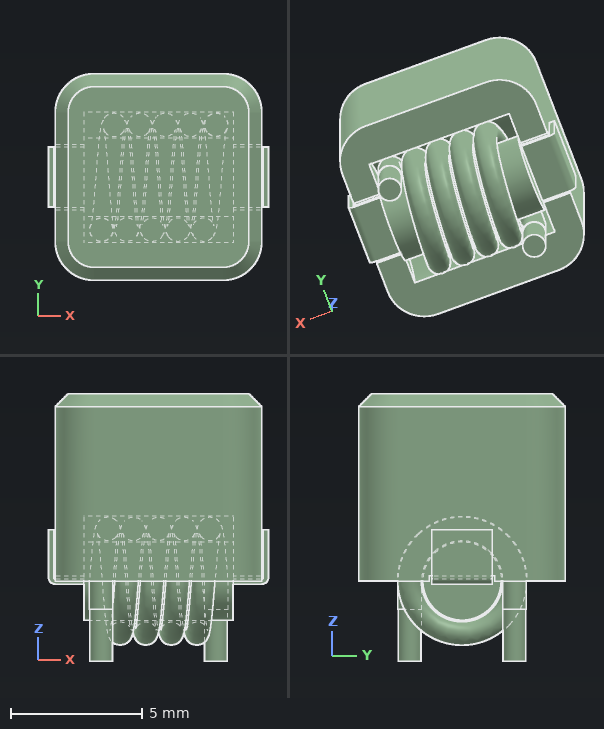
import cadquery as cq


HOUSING_SIDE = 7.9
HOUSING_HEIGHT = 7.15
CORNER_RADIUS = 1.49
TOP_CHAMFER = 0.5

CORE_DIAMETER = 3.0
CORE_LENGTH = 5.7

WIRE_DIAMETER = 0.9
COIL_RADIUS = 2.0
COIL_TURNS = 4.5
COIL_LENGTH = 4.38
COIL_PITCH = COIL_LENGTH / COIL_TURNS
LEG_LENGTH = 1.08

TINNED_DIAMETER = 0.88
TOTAL_HEIGHT = 10.22
TINNED_LENGTH = TOTAL_HEIGHT - HOUSING_HEIGHT - LEG_LENGTH

CLIP_SPAN = 8.4
CLIP_WIDTH = 2.3
CLIP_THICKNESS = 0.2
CLIP_TOP_Z = 1.96
CLIP_BOTTOM_Z = -0.12
CLIP_BEND_RADIUS = 0.27

COIL_CLEARANCE = 0.03
RECESS_RADIUS = COIL_RADIUS + WIRE_DIAMETER / 2 + COIL_CLEARANCE
NOTCH_WIDTH = 2.5
NOTCH_HEIGHT = 0.2

WIRE_END_PLACES = [
    (-COIL_LENGTH / 2, -COIL_RADIUS),
    (COIL_LENGTH / 2, COIL_RADIUS),
]


def rod_along_x(diameter, length):
    """Cylinder on the core axis, centred in X."""
    return cq.Workplane("YZ").circle(diameter / 2).extrude(length / 2, both=True)


def make_housing():
    """Rounded block with a chamfered top, a half-round coil recess and a notch for both clips."""
    block = (
        cq.Workplane("XY")
        .rect(HOUSING_SIDE, HOUSING_SIDE)
        .extrude(HOUSING_HEIGHT)
        .edges("|Z")
        .fillet(CORNER_RADIUS)
        .faces(">Z")
        .chamfer(TOP_CHAMFER)
    )
    recess = rod_along_x(2 * RECESS_RADIUS, CORE_LENGTH)
    clip_notch = cq.Workplane("XY").rect(HOUSING_SIDE, NOTCH_WIDTH).extrude(NOTCH_HEIGHT)
    return block.cut(recess).cut(clip_notch)


def make_core():
    return rod_along_x(CORE_DIAMETER, CORE_LENGTH)


def make_helix():
    """Left-handed winding from the front left wire end, over the core, to the back right one."""
    path = cq.Wire.makeHelix(COIL_PITCH, COIL_LENGTH, COIL_RADIUS, lefthand=True)
    winding = (
        cq.Workplane("XZ")
        .center(COIL_RADIUS, 0)
        .circle(WIRE_DIAMETER / 2)
        .sweep(cq.Workplane(path), isFrenet=True)
    )
    coil_plane = cq.Plane(origin=(-COIL_LENGTH / 2, 0, 0), xDir=(0, -1, 0), normal=(1, 0, 0))
    return cq.Workplane(winding.val().moved(cq.Location(coil_plane)))


def make_wire_end(place, top_z, diameter, length):
    """Vertical round wire hanging down from top_z."""
    return cq.Workplane("XY", origin=(*place, top_z)).circle(diameter / 2).extrude(-length)


def make_coil():
    """Helix and its two straight legs as one length of wire."""
    coil = make_helix()
    for place in WIRE_END_PLACES:
        coil = coil.union(make_wire_end(place, 0, WIRE_DIAMETER, LEG_LENGTH))
    return coil


def make_tinned_end(place):
    return make_wire_end(place, -LEG_LENGTH, TINNED_DIAMETER, TINNED_LENGTH)


def make_left_clip():
    """L-shaped strip: upright outside the housing, foot running in to the end of the core."""
    outer_x = -CLIP_SPAN / 2
    inner_x = outer_x + CLIP_THICKNESS
    foot_end_x = -CORE_LENGTH / 2
    foot_top_z = CLIP_BOTTOM_Z + CLIP_THICKNESS
    strip = (
        cq.Workplane("XZ")
        .moveTo(outer_x, CLIP_TOP_Z)
        .lineTo(outer_x, CLIP_BOTTOM_Z)
        .lineTo(foot_end_x, CLIP_BOTTOM_Z)
        .lineTo(foot_end_x, foot_top_z)
        .lineTo(inner_x, foot_top_z)
        .lineTo(inner_x, CLIP_TOP_Z)
        .close()
        .extrude(CLIP_WIDTH / 2, both=True)
    )
    outer_corner = cq.selectors.NearestToPointSelector((outer_x, 0, CLIP_BOTTOM_Z))
    inner_corner = cq.selectors.NearestToPointSelector((inner_x, 0, foot_top_z))
    strip = strip.edges("|Y").edges(outer_corner).fillet(CLIP_BEND_RADIUS)
    return strip.edges("|Y").edges(inner_corner).fillet(CLIP_BEND_RADIUS - CLIP_THICKNESS)


housing = make_housing()
core = make_core()
coil = make_coil()
tinned_ends = [make_tinned_end(place) for place in WIRE_END_PLACES]
clips = [make_left_clip().rotate((0, 0, 0), (0, 0, 1), turn) for turn in (0, 180)]

result = cq.Compound.makeCompound([
    housing.solids().val(),
    core.solids().val(),
    coil.solids().val(),
    *[tinned_end.solids().val() for tinned_end in tinned_ends],
    *[clip.solids().val() for clip in clips],
])